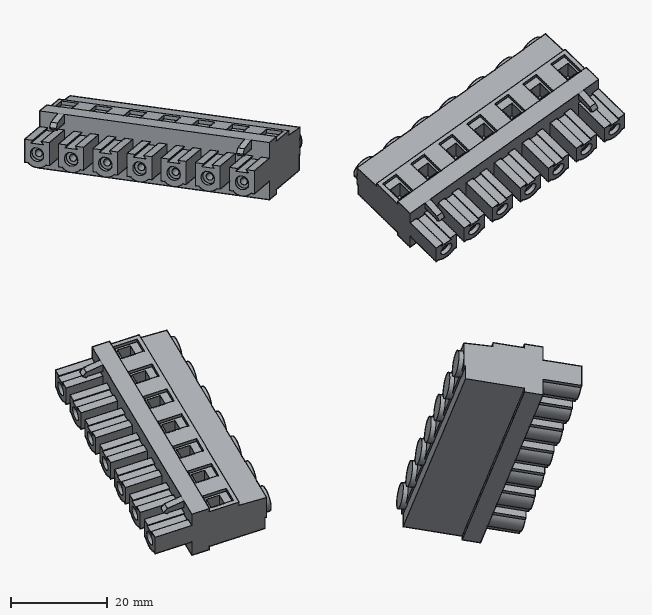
import cadquery as cq
import math


length = 51.2
depth = 26.2
contact_count = 7
sleeve_width = 5.55
pitch = (length - sleeve_width) / (contact_count - 1)
contact_xs = [(i - (contact_count - 1) / 2) * pitch for i in range(contact_count)]

flange_front = 8.3
flange_back = 12.25
flange_top = 12.6
deck_back = 18.95
deck_top = 11.65
slope_front_top = 10.65
slope_back_top = 10.3
housing_back = 25.2
back_step = 0.35
back_step_height = 4.25
housing_bottom = 0.95

sleeve_top = 9.15
sleeve_shoulder = 4.1
contact_height = 6.15
sleeve_round_radius = 2.85
groove_top_width = 1.9
groove_bottom_width = 2.65
groove_depth = 0.65
contact_radius = 1.5
contact_depth = 1.0
pin_radius = 0.75
pin_depth = 4.1

latch_width = 1.5
latch_underside = 10.6
latch_shoulder_y = 4.55
latch_shoulder_z = 11.95
latch_tip_y = 3.75
latch_tip_z = 11.0
latch_hook_y = 4.45
latch_hook_z = 10.35
latch_hook_start_y = 4.95

recess_width = 3.65
recess_front = 12.7
recess_length = 5.4
recess_depth = 0.8
opening_width = 2.65
opening_front = 13.35
opening_length = 2.95

screw_diameter = sleeve_width
screw_height = 6.8


def extrude_along_x(points, x_start, x_length):
    """Extrude a closed YZ outline towards +X."""
    return cq.Workplane("YZ", origin=(x_start, 0, 0)).polyline(points).close().extrude(x_length)


def cylinder_along_y(x, z, radius, y_start, y_end):
    """Cylinder with its axis along Y."""
    base = cq.Workplane("XZ", origin=(x, y_start, z))
    return base.circle(radius).extrude(y_start - y_end)


def make_cutting_block(x, width, y_front, y_length, z_top, z_floor):
    """Rectangular block centred on x, reaching from z_top to z_floor."""
    block = cq.Workplane("XY").box(width, y_length, z_top - z_floor, centered=(True, False, False))
    return block.translate((x, y_front, z_floor))


def make_housing():
    lower_back = housing_back - back_step
    profile = [
        (flange_front, 0),
        (flange_front, flange_top),
        (flange_back, flange_top),
        (flange_back, deck_top),
        (deck_back, deck_top),
        (deck_back, slope_front_top),
        (housing_back, slope_back_top),
        (housing_back, back_step_height),
        (lower_back, back_step_height),
        (lower_back, housing_bottom),
        (flange_back, housing_bottom),
        (flange_back, 0),
    ]
    return extrude_along_x(profile, -length / 2, length)


def make_sleeve(x):
    """Sleeve with a dovetail groove on top and a round belly concentric with the contact."""
    half_width = sleeve_width / 2
    shoulder_drop = contact_height - sleeve_shoulder
    belly_half_width = math.sqrt(sleeve_round_radius**2 - shoulder_drop**2)
    groove_floor = sleeve_top - groove_depth
    outline = (
        cq.Workplane("XZ", origin=(x, flange_front, 0))
        .moveTo(-half_width, sleeve_shoulder)
        .lineTo(-half_width, sleeve_top)
        .lineTo(-groove_top_width / 2, sleeve_top)
        .lineTo(-groove_bottom_width / 2, groove_floor)
        .lineTo(groove_bottom_width / 2, groove_floor)
        .lineTo(groove_top_width / 2, sleeve_top)
        .lineTo(half_width, sleeve_top)
        .lineTo(half_width, sleeve_shoulder)
        .lineTo(belly_half_width, sleeve_shoulder)
        .threePointArc((0, contact_height - sleeve_round_radius), (-belly_half_width, sleeve_shoulder))
        .close()
    )
    return outline.extrude(flange_front)


def make_latch(x_start):
    """Hooked arm reaching forward from the top of the flange."""
    profile = [
        (flange_front, flange_top),
        (latch_shoulder_y, latch_shoulder_z),
        (latch_tip_y, latch_tip_z),
        (latch_hook_y, latch_hook_z),
        (latch_hook_start_y, latch_underside),
        (flange_front, latch_underside),
    ]
    return extrude_along_x(profile, x_start, latch_width)


result = make_housing()

for x in contact_xs:
    result = result.union(make_sleeve(x))
    result = result.union(
        cylinder_along_y(x, screw_height, screw_diameter / 2, housing_back - back_step, depth)
    )

left_latch_start = -length / 2 + sleeve_width - latch_width
right_latch_start = length / 2 - sleeve_width
for x_start in (left_latch_start, right_latch_start):
    result = result.union(make_latch(x_start))

for x in contact_xs:
    result = result.cut(cylinder_along_y(x, contact_height, contact_radius, 0, contact_depth))
    result = result.cut(cylinder_along_y(x, contact_height, pin_radius, 0, pin_depth))
    recess_floor = deck_top - recess_depth
    result = result.cut(
        make_cutting_block(x, recess_width, recess_front, recess_length, deck_top, recess_floor)
    )
    result = result.cut(
        make_cutting_block(x, opening_width, opening_front, opening_length, deck_top, contact_height)
    )